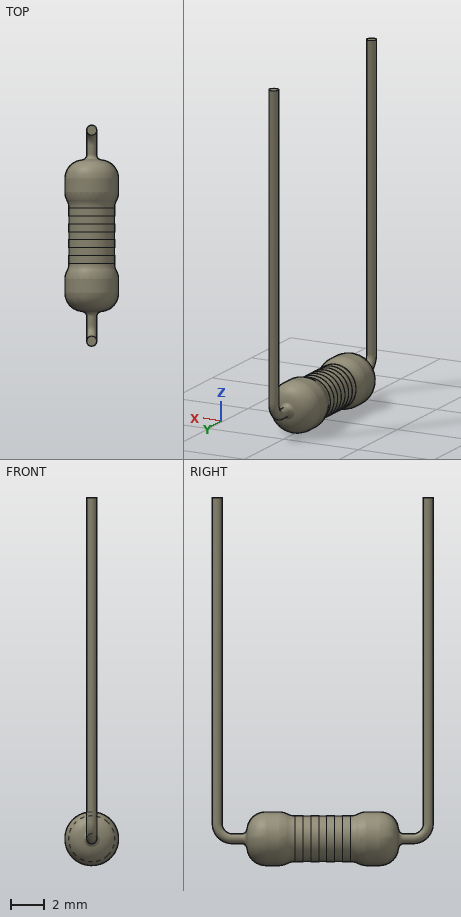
import cadquery as cq
import math

lead_diameter = 0.6
lead_pitch = 12.5
lead_top = 20.2
bend_radius = 0.9

body_diameter = 3.2
waist_diameter = 2.72
cap_end = 4.5
dome_radius = 1.12
root_fillet_radius = 0.3
shoulder_end = 2.57
waist_half_length = 1.633

band_diameter = 2.74
band_count = 4

lead_radius = lead_diameter / 2
body_radius = body_diameter / 2
waist_radius = waist_diameter / 2
band_width = 2 * waist_half_length / (2 * band_count - 1)
band_pitch = 2 * band_width


def cap():
    """The +Y end of the body, from the waist out to the root of the lead."""
    dome_axis = body_radius - dome_radius
    dome_start = cap_end - dome_radius
    fillet_axis = lead_radius + root_fillet_radius
    center_distance = dome_radius + root_fillet_radius
    fillet_center = dome_start + math.sqrt(center_distance**2 - (fillet_axis - dome_axis) ** 2)
    dome_share = dome_radius / center_distance
    touch_radius = dome_axis + (fillet_axis - dome_axis) * dome_share
    touch_y = dome_start + (fillet_center - dome_start) * dome_share

    shoulder_middle = (waist_half_length + shoulder_end) / 2
    shoulder_middle_radius = (waist_radius + body_radius) / 2
    arc_rise = shoulder_middle_radius - waist_radius
    arc_run = shoulder_middle - waist_half_length
    chord_turn = math.atan2(arc_rise, arc_run)
    shoulder_sagitta = math.hypot(arc_rise, arc_run) / 2 * math.tan(chord_turn / 2)

    profile = (
        cq.Workplane("XY")
        .moveTo(0, waist_half_length)
        .lineTo(waist_radius, waist_half_length)
        .sagittaArc((shoulder_middle_radius, shoulder_middle), shoulder_sagitta)
        .sagittaArc((body_radius, shoulder_end), -shoulder_sagitta)
        .lineTo(body_radius, dome_start)
        .tangentArcPoint((touch_radius, touch_y), relative=False)
        .tangentArcPoint((lead_radius, fillet_center), relative=False)
        .lineTo(0, fillet_center)
        .close()
    )
    return profile.revolve(360, (0, 0, 0), (0, 1, 0))


def ring(diameter, length, center=0):
    """Solid cylinder on the body axis, centred at the given Y."""
    return (
        cq.Workplane("XZ", origin=(0, center + length / 2, 0))
        .circle(diameter / 2)
        .extrude(length)
    )


def lead():
    """Lead leaving the +Y end of the body and bending up to +Z."""
    lead_y = lead_pitch / 2
    bend_start = lead_y - bend_radius
    bend_offset = bend_radius * math.sin(math.pi / 4)
    path = (
        cq.Workplane("YZ")
        .moveTo(cap_end, 0)
        .lineTo(bend_start, 0)
        .threePointArc((bend_start + bend_offset, bend_radius - bend_offset), (lead_y, bend_radius))
        .lineTo(lead_y, lead_top)
    )
    return cq.Workplane("XZ", origin=(0, cap_end, 0)).circle(lead_radius).sweep(path)


end = cap().union(lead())
result = ring(waist_diameter, 2 * waist_half_length).union(end).union(end.mirror("XZ"))
for index in range(band_count):
    band_offset = (index - (band_count - 1) / 2) * band_pitch
    result = result.union(ring(band_diameter, band_width, band_offset))